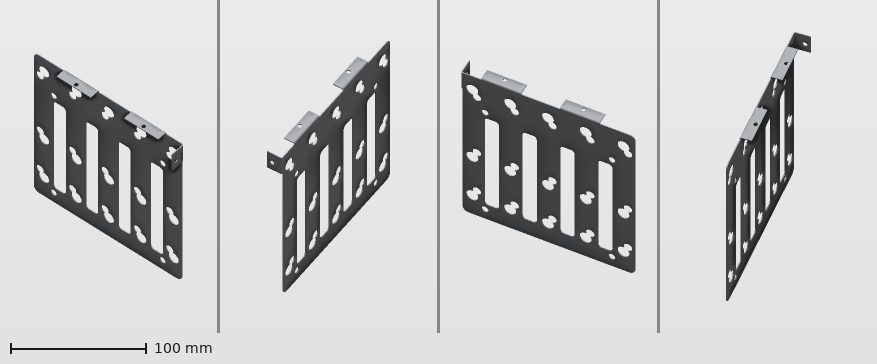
import cadquery as cq
import math

OVERALL_WIDTH = 144.3
OVERALL_DEPTH = 13.5
OVERALL_HEIGHT = 150.8

THICKNESS = 0.8
INNER_BEND_RADIUS = 0.8
BEND_RADIUS = INNER_BEND_RADIUS + THICKNESS

PLATE_WIDTH = OVERALL_WIDTH - BEND_RADIUS
PLATE_HEIGHT = OVERALL_HEIGHT - BEND_RADIUS
PLATE_CORNER_RADIUS = 5.0

COLUMN_PITCH = 31.25

KEYHOLE_COLUMNS = 5
KEYHOLE_FIRST_X = 9.75
KEYHOLE_LARGE_DIAMETER = 10.0
KEYHOLE_SMALL_DIAMETER = 7.2
KEYHOLE_OFFSET = 7.5
KEYHOLE_TILT = math.radians(30)
UP = 1
DOWN = -1
KEYHOLE_BOTTOM_Z = 20.0
KEYHOLE_MIDDLE_Z = 61.7
KEYHOLE_TOP_Z = 134.6
KEYHOLE_ROWS = [
    (KEYHOLE_BOTTOM_Z, UP),
    (KEYHOLE_MIDDLE_Z, UP),
    (KEYHOLE_TOP_Z, DOWN),
]

SLOT_COUNT = KEYHOLE_COLUMNS - 1
SLOT_FIRST_X = 24.85
SLOT_WIDTH = 12.0
SLOT_LENGTH = 93.75
SLOT_CENTER_Z = 62.5
SLOT_CORNER_RADIUS = 3.0

MOUNT_HOLE_DIAMETER = 5.5
MOUNT_HOLE_SPACING = 105.0
MOUNT_HOLE_FIRST_X = 19.2
MOUNT_HOLE_FIRST_Z = 10.0

TAB_FIRST_CENTER_X = 45.8
TAB_SPACING = 65.0
TAB_COUNT = 2
TAB_WIDTH = 33.0
TAB_DEPTH = 9.5
TAB_HOLE_DIAMETER = 3.4
TAB_HOLE_FROM_REAR = 6.5

FLANGE_HEIGHT = 17.3
FLANGE_HOLE_DIAMETER = 3.8
FLANGE_HOLE_FROM_REAR = 8.9
FLANGE_HOLE_FROM_TOP = 9.9


def through_holes(points, diameter):
    """Cutters along Y at (X, Z) points of the plate."""
    return (
        cq.Workplane("XZ")
        .pushPoints(points)
        .circle(diameter / 2)
        .extrude(THICKNESS)
    )


def make_plate():
    """Flat plate with rounded corners, except where the side flange joins it."""
    return (
        cq.Workplane("XZ")
        .rect(PLATE_WIDTH, PLATE_HEIGHT, centered=False)
        .extrude(THICKNESS)
        .edges("|Y and (<X or <Z)")
        .fillet(PLATE_CORNER_RADIUS)
    )


def bent_profile(workplane, edge, depth):
    """Quarter bend and straight leg toward -Y, starting at a plate edge.

    The workplane runs outward from the plate edge along its first axis and along Y on its second.
    """
    outer = edge + BEND_RADIUS
    inner = outer - THICKNESS
    diagonal = math.sqrt(0.5)
    outer_mid = (edge + BEND_RADIUS * diagonal, BEND_RADIUS * (diagonal - 1))
    inner_mid = (edge + INNER_BEND_RADIUS * diagonal, INNER_BEND_RADIUS * diagonal - BEND_RADIUS)
    return (
        workplane
        .moveTo(edge, 0)
        .threePointArc(outer_mid, (outer, -BEND_RADIUS))
        .lineTo(outer, -depth)
        .lineTo(inner, -depth)
        .lineTo(inner, -BEND_RADIUS)
        .threePointArc(inner_mid, (edge, -THICKNESS))
        .close()
    )


def make_side_flange():
    """Flange along the top of the right edge, with one hole."""
    profile_plane = cq.Workplane("XY", origin=(0, 0, PLATE_HEIGHT - FLANGE_HEIGHT))
    flange = bent_profile(profile_plane, PLATE_WIDTH, OVERALL_DEPTH).extrude(FLANGE_HEIGHT)
    hole = (
        cq.Workplane("YZ", origin=(PLATE_WIDTH, 0, 0))
        .center(-FLANGE_HOLE_FROM_REAR, PLATE_HEIGHT - FLANGE_HOLE_FROM_TOP)
        .circle(FLANGE_HOLE_DIAMETER / 2)
        .extrude(BEND_RADIUS)
    )
    return flange.cut(hole)


def make_top_tab(center_x):
    """Tab on the top edge, with one hole at its middle."""
    profile_plane = cq.Workplane(
        cq.Plane(origin=(center_x - TAB_WIDTH / 2, 0, 0), xDir=(0, 0, 1), normal=(-1, 0, 0))
    )
    tab = bent_profile(profile_plane, PLATE_HEIGHT, TAB_DEPTH).extrude(-TAB_WIDTH)
    hole = (
        cq.Workplane("XY", origin=(center_x, -TAB_HOLE_FROM_REAR, PLATE_HEIGHT))
        .circle(TAB_HOLE_DIAMETER / 2)
        .extrude(BEND_RADIUS)
    )
    return tab.cut(hole)


def make_keyholes():
    """Three rows of keyholes."""
    large_points = []
    small_points = []
    for row_z, direction in KEYHOLE_ROWS:
        for column in range(KEYHOLE_COLUMNS):
            x = KEYHOLE_FIRST_X + column * COLUMN_PITCH
            large_points.append((x, row_z))
            small_x = x - KEYHOLE_OFFSET * math.sin(KEYHOLE_TILT)
            small_z = row_z + direction * KEYHOLE_OFFSET * math.cos(KEYHOLE_TILT)
            small_points.append((small_x, small_z))
    large_holes = through_holes(large_points, KEYHOLE_LARGE_DIAMETER)
    return large_holes.union(through_holes(small_points, KEYHOLE_SMALL_DIAMETER))


def make_slots():
    """Row of tall slots with rounded corners."""
    centers = [(SLOT_FIRST_X + i * COLUMN_PITCH, SLOT_CENTER_Z) for i in range(SLOT_COUNT)]
    return (
        cq.Workplane("XZ")
        .pushPoints(centers)
        .rect(SLOT_WIDTH, SLOT_LENGTH)
        .extrude(THICKNESS)
        .edges("|Y")
        .fillet(SLOT_CORNER_RADIUS)
    )


def make_mount_holes():
    """Four mounting holes."""
    columns = [MOUNT_HOLE_FIRST_X, MOUNT_HOLE_FIRST_X + MOUNT_HOLE_SPACING]
    rows = [MOUNT_HOLE_FIRST_Z, MOUNT_HOLE_FIRST_Z + MOUNT_HOLE_SPACING]
    return through_holes([(x, z) for x in columns for z in rows], MOUNT_HOLE_DIAMETER)


plate = make_plate().cut(make_keyholes()).cut(make_slots()).cut(make_mount_holes())
bracket = plate.union(make_side_flange())
for tab_index in range(TAB_COUNT):
    tab_center_x = TAB_FIRST_CENTER_X + tab_index * TAB_SPACING
    bracket = bracket.union(make_top_tab(tab_center_x))

result = bracket